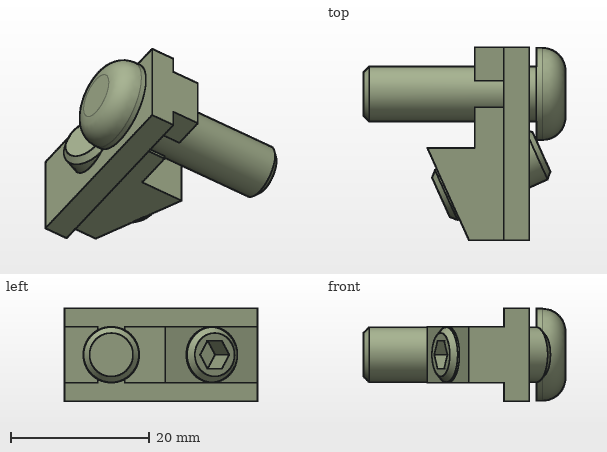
import cadquery as cq
import math


block_length = 28.0
plate_height = 13.5
plate_thickness = 3.7
stem_height = 8.15
stem_depth = 4.25
nose_length = 13.4
nose_tip_depth = 11.1
nose_end_depth = 5.05
bolt_from_end = 6.8
slot_width = 3.9

bolt_diameter = 8.0
bolt_hole_diameter = 8.1
bolt_reach = 20.35
bolt_tip_chamfer = 0.85
head_gap = 1.0
head_diameter = 13.4
head_rim_thickness = 0.85
head_round_radius = 3.4

screw_diameter = 8.0
screw_length = 16.0
screw_chamfer = 0.85
screw_protrusion = 1.15
socket_across_flats = 4.0
socket_depth = 5.0

block_top = bolt_from_end
block_bottom = block_top - block_length
nose_shoulder = block_bottom + nose_length
nose_slope_run = nose_tip_depth - nose_end_depth
nose_tilt = math.atan2(nose_slope_run, nose_length)
screw_direction = cq.Vector(math.cos(nose_tilt), math.sin(nose_tilt), 0)
nose_face_centre = cq.Vector(
    -(nose_tip_depth + nose_end_depth) / 2,
    (nose_shoulder + block_bottom) / 2,
    0,
)
screw_start = nose_face_centre - screw_direction * screw_protrusion
screw_plane = cq.Plane(origin=screw_start, xDir=(0, 0, 1), normal=screw_direction)


def make_screw_cylinder():
    """Full-length cylinder of the set screw, also used to cut its hole."""
    return cq.Workplane(screw_plane).circle(screw_diameter / 2).extrude(screw_length)


def make_block():
    plate = (
        cq.Workplane("XY")
        .box(plate_thickness, block_length, plate_height, centered=(False, False, True))
        .translate((0, block_bottom, 0))
    )
    stem = (
        cq.Workplane("XY")
        .moveTo(0, block_top)
        .lineTo(-stem_depth, block_top)
        .lineTo(-stem_depth, nose_shoulder)
        .lineTo(-nose_tip_depth, nose_shoulder)
        .lineTo(-nose_end_depth, block_bottom)
        .lineTo(0, block_bottom)
        .close()
        .extrude(stem_height / 2, both=True)
    )
    bolt_hole = (
        cq.Workplane("YZ", origin=(-stem_depth, 0, 0))
        .circle(bolt_hole_diameter / 2)
        .extrude(stem_depth + plate_thickness)
    )
    stem_slot = (
        cq.Workplane("XY")
        .box(stem_depth, slot_width, stem_height)
        .translate((-stem_depth / 2, 0, 0))
    )
    return plate.union(stem).cut(stem_slot).cut(bolt_hole).cut(make_screw_cylinder())


def make_bolt():
    shank_radius = bolt_diameter / 2
    head_radius = head_diameter / 2
    head_start = plate_thickness + head_gap
    rim_end = head_start + head_rim_thickness
    head_end = rim_end + head_round_radius
    crown_radius = head_radius - head_round_radius
    round_offset = head_round_radius * math.sqrt(0.5)
    return (
        cq.Workplane("XY")
        .moveTo(-bolt_reach, 0)
        .lineTo(-bolt_reach, shank_radius - bolt_tip_chamfer)
        .lineTo(-bolt_reach + bolt_tip_chamfer, shank_radius)
        .lineTo(head_start, shank_radius)
        .lineTo(head_start, head_radius)
        .lineTo(rim_end, head_radius)
        .threePointArc(
            (rim_end + round_offset, crown_radius + round_offset),
            (head_end, crown_radius),
        )
        .lineTo(head_end, 0)
        .close()
        .revolve(360, (0, 0, 0), (1, 0, 0))
    )


def make_set_screw():
    body = make_screw_cylinder().edges("%CIRCLE").chamfer(screw_chamfer)
    socket = (
        cq.Workplane(screw_plane)
        .polygon(6, socket_across_flats, circumscribed=True)
        .extrude(socket_depth)
    )
    return body.cut(socket)


block = make_block()
bolt = make_bolt()
set_screw = make_set_screw()

result = cq.Compound.makeCompound([block.val(), bolt.val(), set_screw.val()])